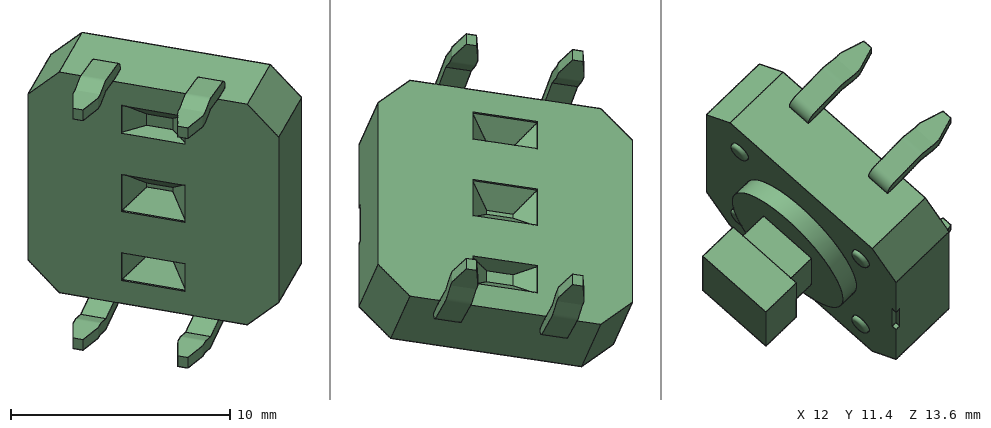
import cadquery as cq
import math


housing_width = 12.0
housing_depth = 3.5
corner_chamfer = 1.5

pocket_width = 3.04
pocket_lip = 0.1
pocket_taper = 0.9
middle_pocket_height = 2.0
outer_pocket_inner_edge = 3.25
outer_pocket_outer_edge = 4.75

notch_height = 2.0
notch_depth = 0.25

rivet_diameter = 1.0
rivet_height = 0.22
rivet_round = 0.16
rivet_offset = 3.82

overall_height = 13.55
pin_width = 1.2
pin_offset = 2.5
pin_thickness = 0.58
pin_bend_radius = 0.5
pin_root_y = 1.05
pin_crest_y = -1.2
pin_valley_y = -2.02
pin_tip_y = -3.5
pin_rise_angle = math.radians(7.5)
pin_fall_angle = math.radians(17)
pin_tip_width = 0.49
pin_taper_length = 1.17

collar_diameter = 7.0
collar_height = 0.9
stem_width = 3.04
stem_length = 1.5
cap_width = 4.0
cap_length = 2.0

housing_half = housing_width / 2
collar_back_y = housing_depth + collar_height
stem_back_y = collar_back_y + stem_length


def facing_back(y):
    """Sketch plane at the given Y, with its normal to +Y and its local x and y along Z and X."""
    return cq.Workplane(cq.Plane(origin=(0, y, 0), xDir=(0, 0, 1), normal=(0, 1, 0)))


def make_pocket(bottom, top, bottom_taper, top_taper):
    """Pocket cutter: a straight mouth, then a funnel to a flat floor; a zero taper keeps that wall square."""
    floor_bottom = bottom + bottom_taper
    floor_top = top - top_taper
    mouth = (
        facing_back(0)
        .center((bottom + top) / 2, 0)
        .rect(top - bottom, pocket_width)
        .extrude(pocket_lip)
    )
    funnel = (
        facing_back(pocket_lip)
        .center((bottom + top) / 2, 0)
        .rect(top - bottom, pocket_width)
        .workplane(offset=pocket_taper)
        .center((floor_bottom + floor_top - bottom - top) / 2, 0)
        .rect(floor_top - floor_bottom, pocket_width - 2 * pocket_taper)
        .loft(ruled=True)
    )
    return mouth.union(funnel)


def make_pin():
    """Bent pin at X = 0 on the top side, with a tapered tip."""
    half_bend = (pin_rise_angle + pin_fall_angle) / 2
    crest_lean = (pin_fall_angle - pin_rise_angle) / 2
    thickness_drop = pin_thickness / math.cos(half_bend)

    crest_z = overall_height / 2 + pin_bend_radius * (math.cos(crest_lean) / math.cos(half_bend) - 1)
    root_z = crest_z - (pin_root_y - pin_crest_y) * math.tan(pin_rise_angle)
    valley_z = crest_z - (pin_crest_y - pin_valley_y) * math.tan(pin_fall_angle)

    inner_crest_y = pin_crest_y + thickness_drop * math.sin(crest_lean)
    inner_crest_z = crest_z - thickness_drop * math.cos(crest_lean)
    inner_valley_y = pin_valley_y + pin_thickness * math.tan(pin_fall_angle / 2)
    inner_valley_z = valley_z - pin_thickness
    inner_root_y = inner_crest_y + (inner_crest_z - housing_half) / math.tan(pin_rise_angle)

    outline = [
        (pin_root_y, housing_half),
        (pin_root_y, root_z),
        (pin_crest_y, crest_z),
        (pin_valley_y, valley_z),
        (pin_tip_y, valley_z),
        (pin_tip_y, inner_valley_z),
        (inner_valley_y, inner_valley_z),
        (inner_crest_y, inner_crest_z),
        (inner_root_y, housing_half),
    ]
    strip = cq.Workplane("YZ").polyline(outline).close().extrude(pin_width / 2, both=True)

    for bend in [(pin_root_y, root_z), (pin_crest_y, crest_z), (inner_valley_y, inner_valley_z)]:
        bend_edge = cq.selectors.NearestToPointSelector((0, *bend))
        strip = strip.edges("|X").edges(bend_edge).fillet(pin_bend_radius)

    taper_start_y = pin_tip_y + pin_taper_length
    plan = (
        cq.Workplane("XY")
        .polyline([
            (-pin_width / 2, pin_root_y),
            (-pin_width / 2, taper_start_y),
            (-pin_tip_width / 2, pin_tip_y),
            (pin_tip_width / 2, pin_tip_y),
            (pin_width / 2, taper_start_y),
            (pin_width / 2, pin_root_y),
        ])
        .close()
        .extrude(overall_height)
    )
    return strip.intersect(plan)


def make_housing():
    """Chamfered block with its pockets, notch, rivet heads and pins."""
    housing = (
        facing_back(0)
        .rect(housing_width, housing_width)
        .extrude(housing_depth)
        .edges("|Y")
        .chamfer(corner_chamfer)
    )

    middle_edge = middle_pocket_height / 2
    housing = housing.cut(make_pocket(-middle_edge, middle_edge, pocket_taper, pocket_taper))
    housing = housing.cut(make_pocket(outer_pocket_inner_edge, outer_pocket_outer_edge, 0, pocket_taper))
    housing = housing.cut(make_pocket(-outer_pocket_outer_edge, -outer_pocket_inner_edge, pocket_taper, 0))

    notch = cq.Workplane("XY").box(2 * notch_depth, 2 * notch_depth, notch_height)
    housing = housing.cut(notch.translate((-housing_half, housing_depth, 0)))

    rivets = (
        facing_back(housing_depth)
        .rect(2 * rivet_offset, 2 * rivet_offset, forConstruction=True)
        .vertices()
        .circle(rivet_diameter / 2)
        .extrude(rivet_height)
        .faces(">Y")
        .edges()
        .fillet(rivet_round)
    )
    housing = housing.union(rivets)

    top_pin = make_pin()
    for pin in [top_pin, top_pin.mirror("XY")]:
        for x in [-pin_offset, pin_offset]:
            housing = housing.union(pin.translate((x, 0, 0)))
    return housing


def make_collar():
    """Round disc standing on the back face of the housing."""
    return facing_back(housing_depth).circle(collar_diameter / 2).extrude(collar_height)


def make_button():
    """Square stem on the collar, carrying a wider square cap."""
    stem = facing_back(collar_back_y).rect(stem_width, stem_width).extrude(stem_length)
    cap = facing_back(stem_back_y).rect(cap_width, cap_width).extrude(cap_length)
    return stem.union(cap)


housing = make_housing()
collar = make_collar()
button = make_button()

result = cq.Compound.makeCompound([housing.solids().val(), collar.val(), button.solids().val()])